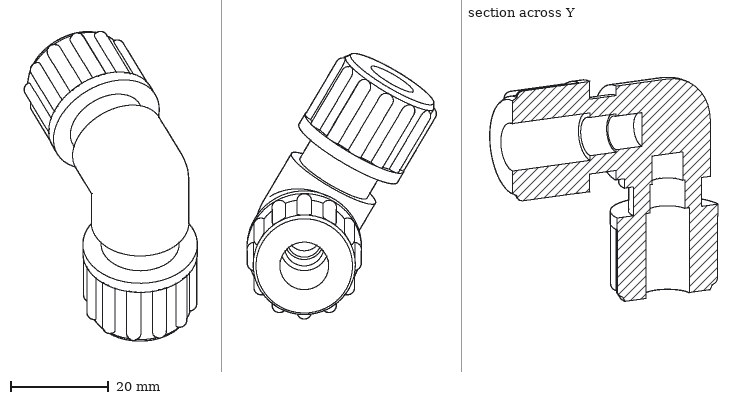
import cadquery as cq

body_diameter = 20.0
body_length = 12.0
neck_diameter = 16.0
neck_length = 6.0

nut_length = 18.0
flange_diameter = 23.5
flange_length = 2.6
barrel_diameter = 20.9
nose_diameter = 19.75
nose_length = 1.0

rib_count = 12
rib_diameter = 3.0
rib_tip_diameter = 23.4

nut_bore_diameter = 10.0
tube_bore_diameter = 8.0
inner_bore_diameter = 7.0

neck_end = body_length + neck_length
flange_end = neck_end + flange_length
arm_length = neck_end + nut_length
nose_start = arm_length - nose_length
rib_radius = rib_diameter / 2
rib_end = nose_start - rib_radius
inner_bore_end = body_length / 2
rib_circle_radius = rib_tip_diameter / 2 - rib_radius


def cylinder(diameter, start, end):
    """Cylinder on the Z axis between two heights."""
    return cq.Workplane("XY").workplane(offset=start).circle(diameter / 2).extrude(end - start)


def barrel():
    """Nut barrel, tapered at the open end."""
    straight = cylinder(barrel_diameter, neck_end, nose_start)
    nose = (
        cq.Workplane("XY")
        .workplane(offset=nose_start)
        .circle(barrel_diameter / 2)
        .workplane(offset=nose_length)
        .circle(nose_diameter / 2)
        .loft(combine=True)
    )
    return straight.union(nose)


def grip_ribs():
    """Ring of ball-ended ribs, rooted in the flange."""
    shaft = cylinder(rib_diameter, neck_end + flange_length / 2, rib_end)
    ball = cq.Workplane("XY").sphere(rib_radius).translate((0, 0, rib_end))
    rib = shaft.union(ball).translate((rib_circle_radius, 0, 0))
    ribs = cq.Workplane("XY")
    for i in range(rib_count):
        ribs = ribs.add(rib.rotate((0, 0, 0), (0, 0, 1), i * 360 / rib_count))
    return ribs.combine()


def arm():
    """One arm of the elbow, pointing up from the corner centre."""
    solid = cylinder(body_diameter, 0, body_length)
    solid = solid.union(cylinder(neck_diameter, 0, neck_end))
    solid = solid.union(cylinder(flange_diameter, neck_end, flange_end))
    return solid.union(barrel()).union(grip_ribs())


def bore():
    """Stepped bore of one arm, narrowing towards the corner."""
    cutter = cylinder(nut_bore_diameter, neck_end, arm_length)
    cutter = cutter.union(cylinder(tube_bore_diameter, body_length, arm_length))
    return cutter.union(cylinder(inner_bore_diameter, inner_bore_end, arm_length))


def to_left(shape):
    """Turn an upward arm to point along -X."""
    return shape.rotate((0, 0, 0), (0, 1, 0), -90)


def to_bottom(shape):
    """Turn an upward arm to point along -Z."""
    return shape.rotate((0, 0, 0), (1, 0, 0), 180)


corner = cq.Workplane("XY").sphere(body_diameter / 2)
result = corner.union(to_left(arm())).union(to_bottom(arm()))
result = result.cut(to_left(bore())).cut(to_bottom(bore()))